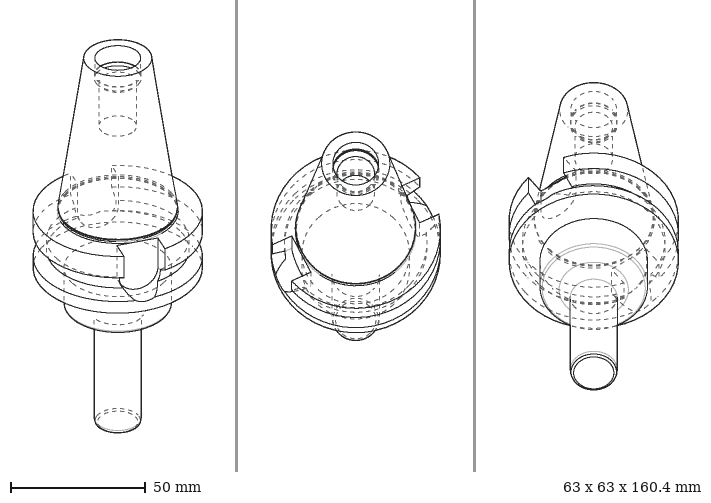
import cadquery as cq
import math


GAUGE_DIAMETER = 44.45
TAPER_LENGTH = 65.4
TAPER_RATIO = 7 / 24
TAPER_TOP_DIAMETER = GAUGE_DIAMETER - TAPER_RATIO * TAPER_LENGTH
TAPER_BASE_Z = -0.35
TAPER_BASE_DIAMETER = GAUGE_DIAMETER - TAPER_RATIO * TAPER_BASE_Z
NECK_DIAMETER = 44.0
NECK_CHAMFER_LENGTH = 0.55
NECK_FILLET_RADIUS = 0.5

FLANGE_DIAMETER = 62.98
FLANGE_TOP_Z = -2.0
FLANGE_BOTTOM_Z = -27.0
GROOVE_CENTER_Z = -16.65
GROOVE_ROOT_DIAMETER = 53.0
GROOVE_ROOT_WIDTH = 4.7
GROOVE_FLANK_ANGLE = 30.0

SLOT_WIDTH = 16.1
SLOT_FLOOR_X = 22.5
SLOT_BOTTOM_Z = -22.8

COLLAR_DIAMETER = 40.0
COLLAR_CORNER_Z = -43.1
COLLAR_CORNER_RADIUS = 1.0
COLLAR_FACE_ANGLE = 10.0
SHANK_DIAMETER = 17.5
SHANK_END_Z = -95.0
SHANK_FILLET_RADIUS = 5.0
TIP_LEAD_LENGTH = 1.25
TIP_LEAD_ANGLE = 14.0
TIP_CHAMFER_LENGTH = 0.55
TIP_CHAMFER_ANGLE = 60.0

BORE_DIAMETER = 17.01
BORE_DEPTH = 7.3
RELIEF_DIAMETER = 17.41
RELIEF_WIDTH = 1.7
CORE_DIAMETER = 14.0
CORE_DEPTH = 30.0
CORE_MOUTH_ANGLE = 45.0
DRILL_POINT_ANGLE = 135.0


def revolve_profile(profile):
    """Turn a closed radius-height outline a full revolution about Z."""
    return profile.close().revolve(360, (0, 0, 0), (0, 1, 0))


def round_ring(body, height, radius):
    """Fillet the circular edge that lies at the given height, centred on Z."""
    ring = cq.selectors.NearestToPointSelector((0, 0, height))
    return body.edges("%CIRCLE").edges(ring).fillet(radius)


def make_taper_and_flange():
    neck_radius = NECK_DIAMETER / 2
    flange_radius = FLANGE_DIAMETER / 2
    root_radius = GROOVE_ROOT_DIAMETER / 2
    root_half_width = GROOVE_ROOT_WIDTH / 2
    flank_rise = (flange_radius - root_radius) * math.tan(math.radians(GROOVE_FLANK_ANGLE))
    mouth_half_width = root_half_width + flank_rise
    profile = (
        cq.Workplane("XZ")
        .moveTo(0, TAPER_LENGTH)
        .lineTo(TAPER_TOP_DIAMETER / 2, TAPER_LENGTH)
        .lineTo(TAPER_BASE_DIAMETER / 2, TAPER_BASE_Z)
        .lineTo(neck_radius, TAPER_BASE_Z - NECK_CHAMFER_LENGTH)
        .lineTo(neck_radius, FLANGE_TOP_Z + NECK_FILLET_RADIUS)
        .radiusArc((neck_radius + NECK_FILLET_RADIUS, FLANGE_TOP_Z), -NECK_FILLET_RADIUS)
        .lineTo(flange_radius, FLANGE_TOP_Z)
        .lineTo(flange_radius, GROOVE_CENTER_Z + mouth_half_width)
        .lineTo(root_radius, GROOVE_CENTER_Z + root_half_width)
        .lineTo(root_radius, GROOVE_CENTER_Z - root_half_width)
        .lineTo(flange_radius, GROOVE_CENTER_Z - mouth_half_width)
        .lineTo(flange_radius, FLANGE_BOTTOM_Z)
        .lineTo(0, FLANGE_BOTTOM_Z)
    )
    return revolve_profile(profile)


def make_collar_and_shank():
    collar_radius = COLLAR_DIAMETER / 2
    shank_radius = SHANK_DIAMETER / 2
    face_drop = (collar_radius - shank_radius) * math.tan(math.radians(COLLAR_FACE_ANGLE))
    lead_end_z = SHANK_END_Z + TIP_CHAMFER_LENGTH
    lead_end_radius = shank_radius - TIP_LEAD_LENGTH * math.tan(math.radians(TIP_LEAD_ANGLE))
    tip_radius = lead_end_radius - TIP_CHAMFER_LENGTH * math.tan(math.radians(TIP_CHAMFER_ANGLE))
    face_inner_z = COLLAR_CORNER_Z - face_drop
    profile = (
        cq.Workplane("XZ")
        .moveTo(0, FLANGE_BOTTOM_Z)
        .lineTo(collar_radius, FLANGE_BOTTOM_Z)
        .lineTo(collar_radius, COLLAR_CORNER_Z)
        .lineTo(shank_radius, face_inner_z)
        .lineTo(shank_radius, lead_end_z + TIP_LEAD_LENGTH)
        .lineTo(lead_end_radius, lead_end_z)
        .lineTo(tip_radius, SHANK_END_Z)
        .lineTo(0, SHANK_END_Z)
    )
    body = revolve_profile(profile)
    body = round_ring(body, COLLAR_CORNER_Z, COLLAR_CORNER_RADIUS)
    return round_ring(body, face_inner_z, SHANK_FILLET_RADIUS)


def make_bore():
    bore_radius = BORE_DIAMETER / 2
    relief_radius = RELIEF_DIAMETER / 2
    core_radius = CORE_DIAMETER / 2
    bore_end_z = TAPER_LENGTH - BORE_DEPTH
    relief_end_z = bore_end_z - RELIEF_WIDTH
    core_start_z = relief_end_z - (relief_radius - core_radius) * math.tan(math.radians(CORE_MOUTH_ANGLE))
    core_end_z = TAPER_LENGTH - CORE_DEPTH
    point_z = core_end_z - core_radius / math.tan(math.radians(DRILL_POINT_ANGLE / 2))
    profile = (
        cq.Workplane("XZ")
        .moveTo(0, TAPER_LENGTH)
        .lineTo(bore_radius, TAPER_LENGTH)
        .lineTo(bore_radius, bore_end_z)
        .lineTo(relief_radius, bore_end_z)
        .lineTo(relief_radius, relief_end_z)
        .lineTo(core_radius, core_start_z)
        .lineTo(core_radius, core_end_z)
        .lineTo(0, point_z)
    )
    return revolve_profile(profile)


def make_drive_slot(side):
    """Round-bottomed slot, open at the top and outward, on the +X (side = 1) or -X (side = -1) side."""
    slot_radius = SLOT_WIDTH / 2
    arc_center_z = SLOT_BOTTOM_Z + slot_radius
    return (
        cq.Workplane("YZ", origin=(side * SLOT_FLOOR_X, 0, 0))
        .moveTo(-slot_radius, FLANGE_TOP_Z)
        .lineTo(-slot_radius, arc_center_z)
        .threePointArc((0, SLOT_BOTTOM_Z), (slot_radius, arc_center_z))
        .lineTo(slot_radius, FLANGE_TOP_Z)
        .close()
        .extrude(side * FLANGE_DIAMETER / 2)
    )


result = make_taper_and_flange().union(make_collar_and_shank()).cut(make_bore())
for side in (-1, 1):
    result = result.cut(make_drive_slot(side))